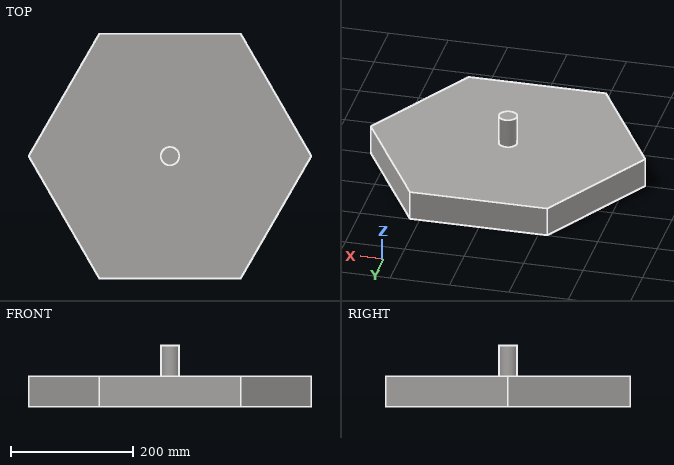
import cadquery as cq

across_corners = 462.0
total_height = 100.0
pin_diameter = 30.0

plate_thickness = total_height / 2
pin_height = total_height - plate_thickness

plate = cq.Workplane("XY").polygon(6, across_corners).extrude(plate_thickness)

result = plate.faces(">Z").workplane().circle(pin_diameter / 2).extrude(pin_height)